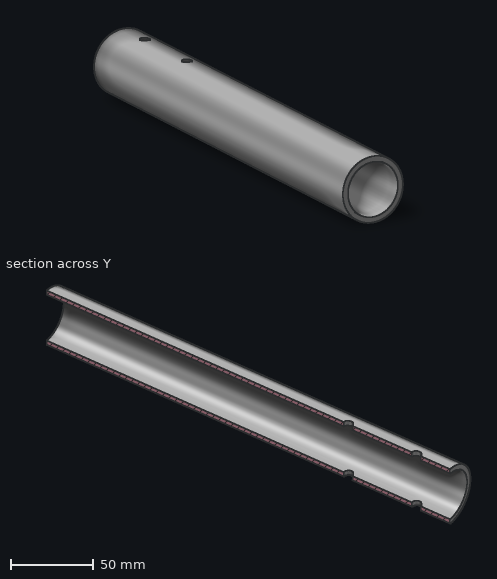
import cadquery as cq

length = 301.5
outer_diameter = 42.2
inner_diameter = 35.0

hole_diameter = 6.3
first_hole_from_end = 25.3
hole_spacing = 51.0

left_end = -length / 2
first_hole_x = left_end + first_hole_from_end
hole_positions = [(first_hole_x, 0), (first_hole_x + hole_spacing, 0)]

tube = (
    cq.Workplane("YZ", origin=(left_end, 0, 0))
    .circle(outer_diameter / 2)
    .circle(inner_diameter / 2)
    .extrude(length)
)

cross_holes = (
    cq.Workplane("XY")
    .pushPoints(hole_positions)
    .circle(hole_diameter / 2)
    .extrude(outer_diameter, both=True)
)

result = tube.cut(cross_holes)